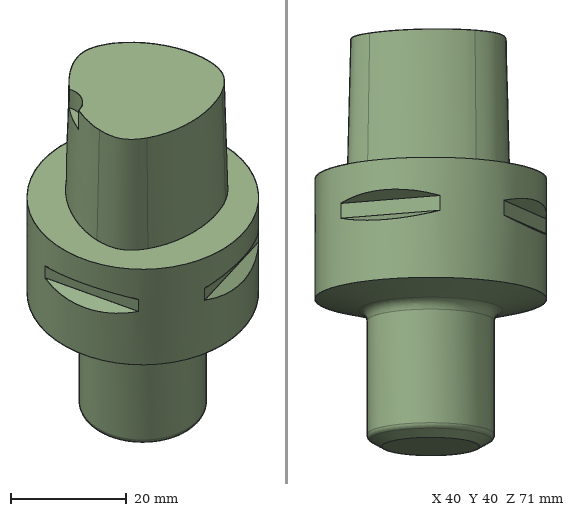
import cadquery as cq
import math


taper_width = 28.05
taper_height = 24.0
taper_ratio = 1 / 20
lobe_eccentricity = 0.95
lobe_direction = 90.0
profile_spans = 6
points_per_span = 9

collar_diameter = 40.0
collar_height = 21.1
collar_cone_angle = 15.0

overall_height = 71.0
shank_diameter = 22.0
neck_fillet = 1.9
end_chamfer_height = 1.5
end_chamfer_angle = 30.0
end_chamfer_blend = 1.0

groove_count = 4
groove_first_angle = 45.0
groove_depth_below_face = 8.0
groove_floor_height = 2.6
groove_floor_distance = 17.7
groove_flank_angle = 30.0
groove_overshoot = 1.0

notch_radius = 4.0
notch_inner_y = -10.9
notch_height = 4.1

collar_radius = collar_diameter / 2
shank_radius = shank_diameter / 2
selection_margin = 0.1
shank_end_z = taper_height - overall_height


def profile_point(width, angle):
    """Point of the constant-width trilobe whose outward normal has this angle (degrees)."""
    normal = math.radians(angle)
    lobe_phase = 3 * math.radians(angle - lobe_direction)
    reach = width / 2 + lobe_eccentricity * math.cos(lobe_phase)
    slide = -3 * lobe_eccentricity * math.sin(lobe_phase)
    x = reach * math.cos(normal) - slide * math.sin(normal)
    y = reach * math.sin(normal) + slide * math.cos(normal)
    return x, y


def profile_wire(width, z):
    """Closed trilobe at height z, one tangent-continuous curve per lobe or side."""
    span = 360 / profile_spans
    edges = []
    for index in range(profile_spans):
        start = index * span
        angles = [start + span * step / (points_per_span - 1) for step in range(points_per_span)]
        points = [cq.Vector(*profile_point(width, angle), z) for angle in angles]
        tangents = []
        for angle in (angles[0], angles[-1]):
            turn = math.radians(angle)
            tangents.append(cq.Vector(-math.sin(turn), math.cos(turn), 0))
        edges.append(cq.Edge.makeSpline(points, tangents=tangents))
    return cq.Wire.assembleEdges(edges)


def make_taper():
    """Polygon taper: ruled between its collar-face and top profiles."""
    top_width = taper_width - taper_height * taper_ratio
    base = profile_wire(taper_width, 0)
    top = profile_wire(top_width, taper_height)
    return cq.Workplane(cq.Solid.makeLoft([base, top], True))


def make_body():
    """Collar and shank, turned as one profile; the shank end is rounded into its chamfer."""
    cone_height = (collar_radius - shank_radius) * math.tan(math.radians(collar_cone_angle))
    neck_z = -collar_height - cone_height
    end_radius = shank_radius - end_chamfer_height / math.tan(math.radians(end_chamfer_angle))
    chamfer_z = shank_end_z + end_chamfer_height
    body = (
        cq.Workplane("XZ")
        .lineTo(collar_radius, 0)
        .lineTo(collar_radius, -collar_height)
        .lineTo(shank_radius, neck_z)
        .lineTo(shank_radius, chamfer_z)
        .lineTo(end_radius, shank_end_z)
        .lineTo(0, shank_end_z)
        .close()
        .revolve(360, (0, 0, 0), (0, 1, 0))
    )
    body = fillet_shank_ring(body, neck_z, neck_fillet)
    return fillet_shank_ring(body, chamfer_z, end_chamfer_blend)


def fillet_shank_ring(body, z, radius):
    """Fillet the shank-diameter edge lying at height z."""
    half_box = shank_radius + selection_margin
    ring = cq.selectors.BoxSelector(
        (-half_box, -half_box, z - selection_margin),
        (half_box, half_box, z + selection_margin),
        boundingbox=True,
    )
    return body.edges(ring).fillet(radius)


def make_groove(angle):
    """Straight trapezoidal groove cutter, opening outward, at this angle about Z."""
    outer_x = collar_radius + groove_overshoot
    floor_half = groove_floor_height / 2
    flare = (outer_x - groove_floor_distance) * math.tan(math.radians(groove_flank_angle))
    outer_half = floor_half + flare
    return (
        cq.Workplane("XZ")
        .center(0, -groove_depth_below_face)
        .polyline([
            (groove_floor_distance, -floor_half),
            (outer_x, -outer_half),
            (outer_x, outer_half),
            (groove_floor_distance, floor_half),
        ])
        .close()
        .extrude(collar_radius, both=True)
        .rotate((0, 0, 0), (0, 0, 1), angle)
    )


def make_notch():
    """Round cutter that bites into the -Y side at the top of the taper."""
    return (
        cq.Workplane("XY", origin=(0, notch_inner_y - notch_radius, taper_height - notch_height))
        .circle(notch_radius)
        .extrude(notch_height)
    )


result = make_body().union(make_taper()).cut(make_notch())
for groove_index in range(groove_count):
    groove_angle = groove_first_angle + groove_index * 360 / groove_count
    result = result.cut(make_groove(groove_angle))